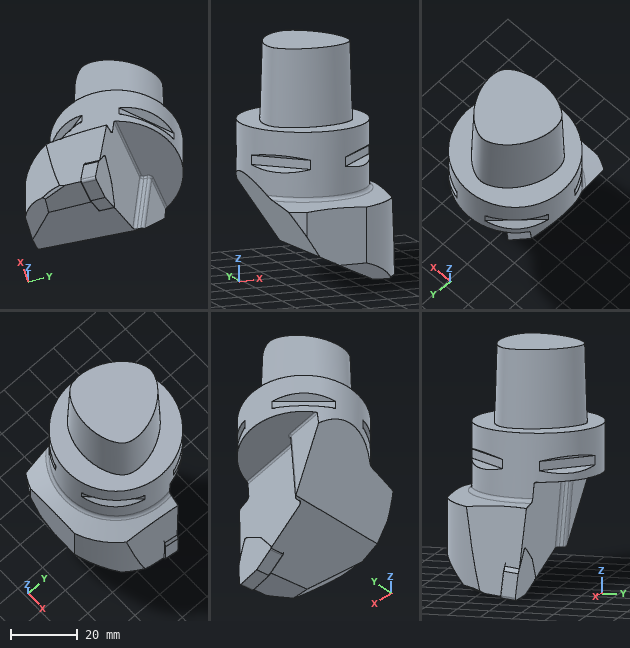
import cadquery as cq
import math


shank_height = 24.0
shank_base_radius = 13.9
shank_top_radius = 13.2
lobe_height = 1.0
outline_points = 48

flange_radius = 40.0 / 2
groove_floor_distance = 17.6
groove_floor_width = 2.8
groove_mouth_width = 5.25
groove_center_z = -10.0
groove_count = 4
groove_first_angle = 45

head_radius = 27.45
shoulder_z = -20.95
shoulder_angle = 15
shoulder_fillet = 1.3
blank_bottom_z = -53.3
front_flat_y = -25.7

ledge_z = -14.95
ledge_fillet = 0.6
rake_point = (26.9, 0.45, -49.8)
rake_normal = (0.103, 1, -0.088)
rake_step_height = 3.0
rake_step_x = -3.55
step_fillet = 1.0

relief_start = (-flange_radius, 0, -14.6)
relief_normal = (-32.5, 0, -21.2)
underside_point = (-5.7, front_flat_y, -36.85)
underside_normal = (-0.48, -0.035, -1)
side_point = (24.2, 3.1, -22.2)
side_normal = (1, -0.104, 0.093)
front_chamfer_point = (0, front_flat_y, -40.0)
front_chamfer_normal = (0, -0.84, -1)
nose_point = (16.95, -16.35, -47.5)
nose_normal = (-0.05, -0.09, -1)
corner_point = (21.25, -17.3, -47.15)
corner_normal = (0.68, -0.53, -1)

insert_center_x = 20.3
insert_center_z = -43.45
insert_tip_radius = 9.55
insert_blunt_radius = 6.4
insert_first_angle = -44.0
insert_thickness = 4.7
insert_nose_radius = 0.8
tip_count = 3

cutter_size = 148


def half_space(point, normal):
    """Large block that fills the side of a plane its normal points to."""
    plane = cq.Plane(origin=point, normal=normal)
    return cq.Workplane(plane).rect(cutter_size, cutter_size).extrude(cutter_size)


def shank_outline(radius):
    """Points of a constant-width curve with support radius + lobe_height * cos(3t)."""
    points = []
    for i in range(outline_points):
        t = 2 * math.pi * i / outline_points
        support = radius + lobe_height * math.cos(3 * t)
        slope = -3 * lobe_height * math.sin(3 * t)
        along = support * math.cos(t) - slope * math.sin(t)
        across = support * math.sin(t) + slope * math.cos(t)
        points.append((-across, along))
    return points


def make_shank():
    return (
        cq.Workplane("XY")
        .spline(shank_outline(shank_base_radius), periodic=True).close()
        .workplane(offset=shank_height)
        .spline(shank_outline(shank_top_radius), periodic=True).close()
        .loft(ruled=True)
    )


def make_turned_blank():
    """Flange, filleted conical shoulder and head disc in one revolved profile."""
    fall = math.radians(shoulder_angle)
    tangent = shoulder_fillet * math.tan((math.pi / 2 - fall) / 2)
    arc_top = (flange_radius, shoulder_z + tangent)
    arc_end = (flange_radius + tangent * math.cos(fall), shoulder_z - tangent * math.sin(fall))
    arc_center = (flange_radius + shoulder_fillet, arc_top[1])
    middle = math.pi + (math.pi / 2 - fall) / 2
    arc_middle = (
        arc_center[0] + shoulder_fillet * math.cos(middle),
        arc_center[1] + shoulder_fillet * math.sin(middle),
    )
    rim_z = shoulder_z - (head_radius - flange_radius) * math.tan(fall)
    return (
        cq.Workplane("XZ")
        .lineTo(flange_radius, 0)
        .lineTo(*arc_top)
        .threePointArc(arc_middle, arc_end)
        .lineTo(head_radius, rim_z)
        .lineTo(head_radius, blank_bottom_z)
        .lineTo(0, blank_bottom_z)
        .close()
        .revolve(360, (0, 0, 0), (0, 1, 0))
    )


def make_gripper_groove(angle):
    """Straight groove with sloped flanks, cut square to the radius at the given angle."""
    depth = flange_radius - groove_floor_distance
    flank = (groove_mouth_width - groove_floor_width) / 2 / depth
    outer = flange_radius + depth
    floor_half = groove_floor_width / 2
    outer_half = floor_half + flank * (outer - groove_floor_distance)
    profile = [
        (groove_floor_distance, groove_center_z - floor_half),
        (outer, groove_center_z - outer_half),
        (outer, groove_center_z + outer_half),
        (groove_floor_distance, groove_center_z + floor_half),
    ]
    groove = cq.Workplane("XZ").polyline(profile).close().extrude(flange_radius, both=True)
    return groove.rotate((0, 0, 0), (0, 0, 1), angle)


def make_chip_clearance():
    """Space in front of the rake plane, stepped back at rake_step_x."""
    below_ledge = half_space((0, 0, ledge_z), (0, 0, -1))
    beside_step = half_space((rake_step_x, 0, 0), (1, 0, 0))
    raised_point = (rake_point[0], rake_point[1] + rake_step_height, rake_point[2])
    raised = half_space(raised_point, rake_normal)
    seat = half_space(rake_point, rake_normal).intersect(beside_step)
    clearance = raised.union(seat).intersect(below_ledge)
    nx, ny, nz = rake_normal
    step_direction = cq.Vector(0, -nz, ny)
    ledge_direction = cq.Vector(ny, -nx, 0)
    clearance = clearance.edges(cq.selectors.ParallelDirSelector(step_direction)).fillet(step_fillet)
    return clearance.faces(">Z").edges(cq.selectors.ParallelDirSelector(ledge_direction)).fillet(ledge_fillet)


def make_insert():
    nx, ny, nz = rake_normal
    tilt = nx * (insert_center_x - rake_point[0]) + nz * (insert_center_z - rake_point[2])
    center = (insert_center_x, rake_point[1] - tilt / ny, insert_center_z)
    plane = cq.Plane(origin=center, xDir=(ny, -nx, 0), normal=rake_normal)
    outline = []
    for i in range(2 * tip_count):
        radius = insert_tip_radius if i % 2 == 0 else insert_blunt_radius
        angle = -math.radians(insert_first_angle + i * 180 / tip_count)
        outline.append((radius * math.cos(angle), radius * math.sin(angle)))
    plate = cq.Workplane(plane).polyline(outline).close().extrude(-insert_thickness)
    tips = []
    for edge in plate.edges(cq.selectors.ParallelDirSelector(cq.Vector(*rake_normal))).vals():
        distance = (edge.Center() - plate.val().Center()).Length
        if distance > (insert_tip_radius + insert_blunt_radius) / 2:
            tips.append(edge)
    return plate.newObject(tips).fillet(insert_nose_radius)


def make_holder(insert):
    holder = make_turned_blank()
    trims = [
        ((0, front_flat_y, 0), (0, -1, 0)),
        (relief_start, relief_normal),
        (underside_point, underside_normal),
        (side_point, side_normal),
        (front_chamfer_point, front_chamfer_normal),
        (nose_point, nose_normal),
        (corner_point, corner_normal),
    ]
    for point, normal in trims:
        holder = holder.cut(half_space(point, normal))
    holder = holder.cut(make_chip_clearance())
    for i in range(groove_count):
        holder = holder.cut(make_gripper_groove(groove_first_angle + i * 360 / groove_count))
    return holder.union(make_shank()).cut(insert)


insert = make_insert()
holder = make_holder(insert)

result = cq.Compound.makeCompound([holder.solids().val(), insert.solids().val()])